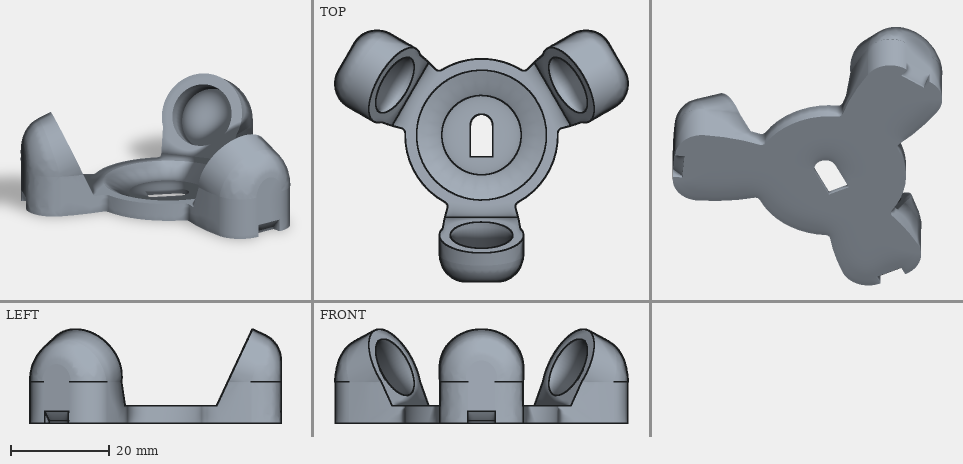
import cadquery as cq
import math

plate_radius = 15.6
plate_thickness = 3.6
floor_thickness = 1.0
junction_fillet = 1.0

dish_top_radius = 13.25
dish_floor_radius = 8.1

slot_width = 4.5
slot_end_y = -4.4
slot_length = 8.65

short_arm_end = 29.95
long_arm_end = 31.84
arm_ends = {0: short_arm_end, 120: long_arm_end, 240: long_arm_end}
arm_root = 10.0
tilt = 25.0
barrel_radius = 8.6
barrel_length = 40.0
face_distance = 20.4
overall_height = 19.23
face_height = overall_height - barrel_radius * math.cos(math.radians(tilt))
base_height = 8.47
end_fillets = {short_arm_end: 5.75, long_arm_end: 5.5}

pocket_diameter = 12.7
pocket_depth = 6.5

notch_width = 5.6
notch_depth = 1.9
notch_land = 0.5
notch_height = 2.5

edge_tolerance = 0.01

section_distance = face_distance + (face_height - base_height) / math.tan(math.radians(tilt))
section_half_length = barrel_radius / math.sin(math.radians(tilt))


def face_plane():
    """Plane of the tilted face, with its normal pointing inward and up."""
    angle = math.radians(tilt)
    return cq.Plane(
        origin=(0, -face_distance, face_height),
        xDir=(1, 0, 0),
        normal=(0, math.cos(angle), math.sin(angle)),
    )


def arm_envelope(arm_end, bottom, top):
    """Wide block spanning the arm length between two heights."""
    return (
        cq.Workplane("XY", origin=(0, -(arm_root + arm_end) / 2, bottom))
        .rect(barrel_length, arm_end - arm_root)
        .extrude(top - bottom)
    )


def arm_base(arm_end):
    """Upright part of an arm: the barrel section carried straight down."""
    root_angle = math.degrees(math.asin((section_distance - arm_root) / section_half_length))
    end_angle = math.degrees(math.asin((section_distance - arm_end) / section_half_length))
    root_half_width = barrel_radius * math.cos(math.radians(root_angle))
    end_half_width = barrel_radius * math.cos(math.radians(end_angle))
    return (
        cq.Workplane("XY")
        .moveTo(end_half_width, -arm_end)
        .ellipseArc(barrel_radius, section_half_length, end_angle, root_angle, startAtCurrent=True)
        .lineTo(-root_half_width, -arm_root)
        .ellipseArc(barrel_radius, section_half_length, 180 - root_angle, 180 - end_angle, startAtCurrent=True)
        .close()
        .extrude(base_height)
    )


def around_hub(make_feature):
    """One copy of an arm feature for each arm, turned into place about the hub axis."""
    return [
        make_feature(arm_end).rotate((0, 0, 0), (0, 0, 1), angle)
        for angle, arm_end in arm_ends.items()
    ]


def make_barrel(arm_end):
    """Tilted round barrel above the base, with its upright outer end rounded off."""
    barrel = cq.Workplane(face_plane()).circle(barrel_radius).extrude(-barrel_length)
    barrel = barrel.intersect(arm_envelope(arm_end, base_height, barrel_length))
    return barrel.faces("<Y").edges("not(<Z)").fillet(end_fillets[arm_end])


def make_arm(arm_end):
    """Base and barrel in one, cut back to the tilted face above the plate."""
    base = arm_base(arm_end).faces("<Y").edges("|Z").fillet(end_fillets[arm_end])
    arm = base.union(make_barrel(arm_end))
    in_front_of_face = (
        cq.Workplane(face_plane())
        .rect(barrel_length, barrel_length)
        .extrude(barrel_length)
        .intersect(arm_envelope(arm_end, plate_thickness, barrel_length))
    )
    return arm.cut(in_front_of_face)


def junction_edges(body):
    """Upright edges where the arms leave a disc."""
    edges = []
    for edge in body.edges().vals():
        center = edge.Center()
        on_disc = abs(math.hypot(center.x, center.y) - plate_radius) < edge_tolerance
        bounds = edge.BoundingBox()
        upright = max(bounds.xlen, bounds.ylen) < edge_tolerance
        if on_disc and upright:
            edges.append(edge)
    return body.newObject(edges)


def make_body():
    """Disc united with the arms, with rounded inside corners at the junctions."""
    body = cq.Workplane("XY").circle(plate_radius).extrude(plate_thickness)
    for arm in around_hub(make_arm):
        body = body.union(arm)
    return junction_edges(body).fillet(junction_fillet)


def make_dish():
    """Cone frustum from the flat floor up to the top of the plate."""
    return (
        cq.Workplane("XY", origin=(0, 0, floor_thickness))
        .circle(dish_floor_radius)
        .workplane(offset=plate_thickness - floor_thickness)
        .circle(dish_top_radius)
        .loft(ruled=True)
    )


def make_slot():
    """Slot with one square end and one round end."""
    radius = slot_width / 2
    arc_y = slot_end_y + slot_length - radius
    return (
        cq.Workplane("XY")
        .moveTo(-radius, slot_end_y)
        .lineTo(radius, slot_end_y)
        .lineTo(radius, arc_y)
        .threePointArc((0, arc_y + radius), (-radius, arc_y))
        .close()
        .extrude(plate_thickness)
    )


def make_pocket(_arm_end):
    """Round pocket square to the tilted face, the same on every arm."""
    return cq.Workplane(face_plane()).circle(pocket_diameter / 2).extrude(-pocket_depth)


def make_notch(arm_end):
    """Undercut with a short upright land and a roof sloping up to the outer end."""
    inner_y = notch_depth - arm_end
    return (
        cq.Workplane("YZ")
        .polyline([(-arm_end, 0), (inner_y, 0), (inner_y, notch_land), (-arm_end, notch_height)])
        .close()
        .extrude(notch_width / 2, both=True)
    )


result = make_body()
result = result.cut(make_dish()).cut(make_slot())
for cutter in around_hub(make_pocket) + around_hub(make_notch):
    result = result.cut(cutter)